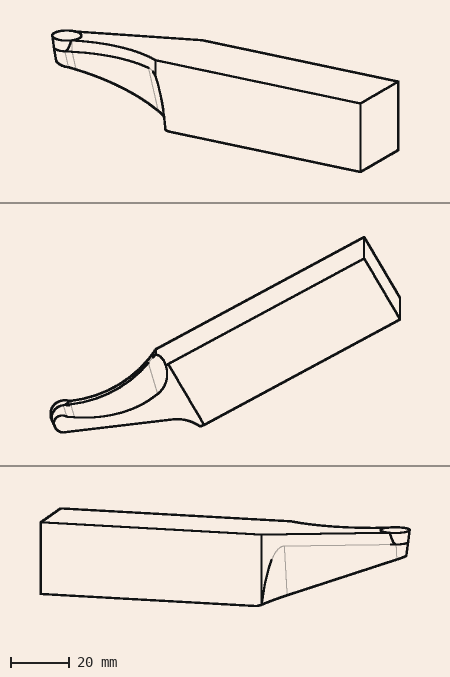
import cadquery as cq
import math

length = 125.0
width = 25.0
height = 25.0

insert_radius = 5.0
insert_thickness = 4.1
clearance_angle = math.radians(7)
clearance_slope = math.tan(clearance_angle)
seat_radius = insert_radius - insert_thickness * clearance_slope
seat_z = height - insert_thickness

flank_angle = math.radians(20)
web_angle = math.radians(22.5)
web_length = 2.5
hollow_radius = 40.0

hollow_lean = math.tan(math.radians(20))
flank_lean = math.tan(math.radians(11))
runout_x = 39.4
runout_radius = 13.1

underside_slope = math.tan(math.radians(19))
underside_end_x = 48.2

nose_depth = 8.7
margin = 25.0


def polar(centre, radius, angle):
    """Point on a circle, with the angle measured from +X."""
    return (centre[0] + radius * math.cos(angle), centre[1] + radius * math.sin(angle))


quarter_turn = math.pi / 2
insert_centre = (insert_radius, insert_radius)

flank_direction = quarter_turn + flank_angle
web_direction = web_angle - quarter_turn
flank_start = polar(insert_centre, seat_radius, flank_direction)
web_start = polar(insert_centre, seat_radius, web_direction)

web_end = polar(web_start, web_length, web_angle)
hollow_centre = polar(web_end, hollow_radius, web_direction)
hollow_top = polar(hollow_centre, hollow_radius, quarter_turn)
hollow_end = (hollow_centre[0] + math.sqrt(hollow_radius**2 - hollow_centre[1]**2), 0)


def flank_point(x):
    """Point of the straight flank at a given X."""
    return (x, flank_start[1] + (x - flank_start[0]) * math.tan(flank_angle))


flank_end_x = flank_start[0] + (width - flank_start[1]) / math.tan(flank_angle)


def make_insert():
    return cq.Workplane(cq.Solid.makeCone(
        seat_radius, insert_radius, insert_thickness, cq.Vector(*insert_centre, seat_z)))


def make_outline_prism():
    """Full-height shank and neck, starting at the seat circle."""
    return (
        cq.Workplane("XY").moveTo(*web_start).lineTo(*web_end)
        .threePointArc(hollow_top, hollow_end)
        .lineTo(length, 0).lineTo(length, width).lineTo(flank_end_x, width)
        .lineTo(*flank_start).close().extrude(height)
    )


def extrude_leaning(profile, lean):
    """Extrude a seat-level profile down to Z = 0, sliding it along Y by lean per unit depth."""
    direction = cq.Vector(0, lean * seat_z, -seat_z)
    return cq.Workplane(cq.Solid.extrudeLinear(profile.val(), [], direction))


def make_hollow_side():
    """Region behind the leaning hollow, unbounded towards the flank."""
    tangent_angle = math.acos((runout_x - hollow_centre[0]) / hollow_radius)
    tangent_point = polar(hollow_centre, hollow_radius, tangent_angle)
    runout_centre = polar(tangent_point, -runout_radius, tangent_angle)
    runout_end = polar(runout_centre, runout_radius, 0)
    profile = (
        cq.Workplane("XY", origin=(0, 0, seat_z))
        .moveTo(*web_start).lineTo(*web_end)
        .threePointArc(hollow_top, tangent_point)
        .threePointArc(polar(runout_centre, runout_radius, tangent_angle / 2), runout_end)
        .lineTo(runout_end[0], -width).lineTo(length, -width)
        .lineTo(length, width + margin).lineTo(web_start[0], width + margin).close().wire()
    )
    return extrude_leaning(profile, hollow_lean)


def make_flank_side():
    """Region behind the leaning flank, unbounded towards the hollow."""
    tangent_point = flank_point(runout_x)
    runout_centre = polar(tangent_point, runout_radius, flank_direction)
    tangent_angle = flank_angle - quarter_turn
    runout_end = polar(runout_centre, runout_radius, 0)
    profile = (
        cq.Workplane("XY", origin=(0, 0, seat_z))
        .moveTo(*flank_point(web_start[0])).lineTo(*tangent_point)
        .threePointArc(polar(runout_centre, runout_radius, tangent_angle / 2), runout_end)
        .lineTo(runout_end[0], width + margin).lineTo(length, width + margin)
        .lineTo(length, -margin).lineTo(web_start[0], -margin).close().wire()
    )
    return extrude_leaning(profile, -flank_lean)


def nose_section(depth):
    """Nose outline at a depth below the seat; its tip and both sides move inwards."""
    tip_shift = depth * clearance_slope
    hollow_shift = depth * hollow_lean
    flank_shift = -depth * flank_lean

    def shifted(point, x_shift, y_shift):
        return (point[0] + x_shift, point[1] + y_shift)

    hollow_middle = polar(insert_centre, seat_radius, (web_direction - math.pi) / 2)
    flank_middle = polar(insert_centre, seat_radius, (flank_direction + math.pi) / 2)
    tip = shifted(polar(insert_centre, seat_radius, math.pi), tip_shift, 0)
    return (
        cq.Workplane("XY", origin=(0, 0, seat_z - depth)).moveTo(*tip)
        .threePointArc(shifted(hollow_middle, tip_shift / 2, hollow_shift / 2),
                       shifted(web_start, 0, hollow_shift))
        .lineTo(*shifted(flank_point(web_start[0]), 0, flank_shift))
        .lineTo(*shifted(flank_start, 0, flank_shift))
        .threePointArc(shifted(flank_middle, tip_shift / 2, flank_shift / 2), tip)
        .close().wire().val()
    )


def make_nose():
    """Support under the insert."""
    return cq.Workplane(cq.Solid.makeLoft([nose_section(0), nose_section(nose_depth)], True))


def make_underside_cut():
    """Wedge below the sloping underside of the neck."""
    run = underside_end_x + margin
    return (
        cq.Workplane("XZ", origin=(0, width + margin, 0))
        .moveTo(underside_end_x, 0).lineTo(-margin, run * underside_slope)
        .lineTo(-margin, -margin).lineTo(underside_end_x, -margin)
        .close().extrude(width + 2 * margin)
    )


def make_holder(insert):
    prism = make_outline_prism()
    upper_slab = cq.Workplane("XY", origin=(0, 0, seat_z)).rect(
        2 * length, 2 * length).extrude(insert_thickness)
    upper = prism.intersect(upper_slab).cut(insert)
    lower = prism.intersect(make_hollow_side()).intersect(make_flank_side())
    return upper.union(lower).union(make_nose()).cut(make_underside_cut())


insert = make_insert()
holder = make_holder(insert)

result = cq.Compound.makeCompound([*holder.solids().vals(), insert.val()])